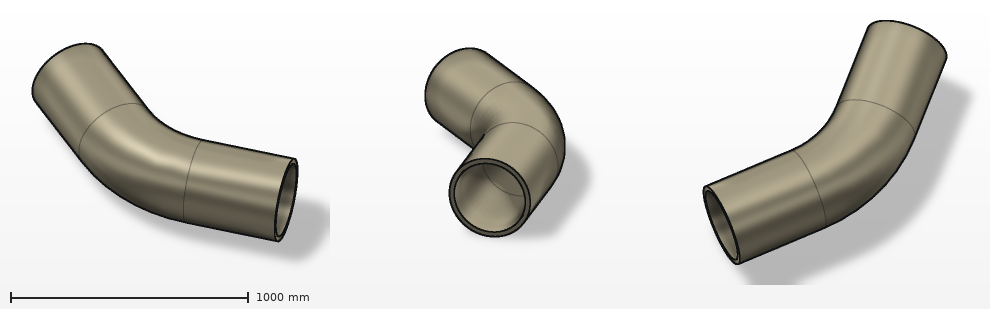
import cadquery as cq
import math

overall_length = 1201.0
outer_diameter = 355.0
inner_diameter = 312.0
leg_length = 400.0
bend_angle = 45.0

outer_radius = outer_diameter / 2
bend_sine = math.sin(math.radians(bend_angle))
bend_radius = (overall_length - leg_length) / bend_sine - leg_length - outer_radius


def pipe_path():
    """Centerline: along +X, around the bend towards +Y, then straight out."""
    half_angle = math.radians(bend_angle / 2)
    full_angle = math.radians(bend_angle)

    def bend_point(angle):
        return (
            leg_length + bend_radius * math.sin(angle),
            bend_radius * (1 - math.cos(angle)),
        )

    bend_end = bend_point(full_angle)
    far_end = (
        bend_end[0] + leg_length * math.cos(full_angle),
        bend_end[1] + leg_length * math.sin(full_angle),
    )
    return (
        cq.Workplane("XY")
        .lineTo(leg_length, 0)
        .threePointArc(bend_point(half_angle), bend_end)
        .lineTo(*far_end)
    )


def swept_rod(diameter):
    """Solid round bar following the pipe centerline."""
    return cq.Workplane("YZ").circle(diameter / 2).sweep(pipe_path())


result = swept_rod(outer_diameter).cut(swept_rod(inner_diameter))